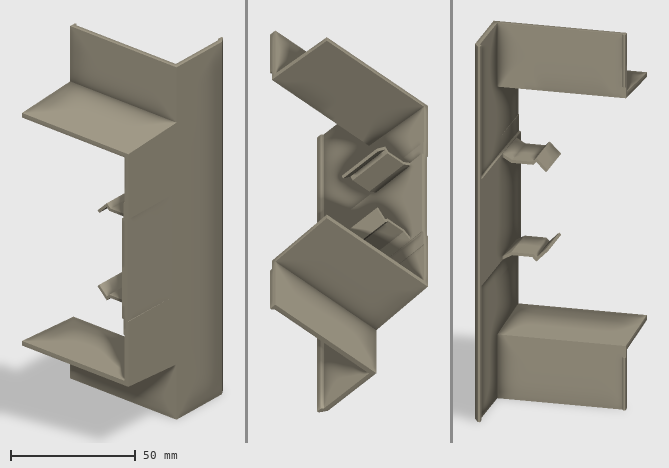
import cadquery as cq

width = 55.5
depth = 62.0
height = 160.0
half_height = height / 2

wall_thickness = 2.0
flange_thickness = 2.0
lip_rise = 0.8
lip_slope = 1.0
wall_inner_x = width - wall_thickness
lip_x = wall_inner_x - lip_rise

flange_front_y = 30.2
flange_back_y = flange_front_y + flange_thickness
shelf_fold_z = 54.9
shelf_front_z = 52.8
shelf_thickness = 2.0

wall_lip_start_y = 58.9
edge_bevel_width = 2.0
edge_bevel_length = 3.2
flange_lip_width = 0.6
flange_lip_bottom_z = 57.6

pad_half_height = 23.2
pad_slope = 0.5
panel_half_height = 30.0
panel_back_y = 27.4
panel_shift = 0.3

clip_front_y = 6.9
clip_root_x = wall_inner_x


def wall():
    """Back wall reaching the shelf tops in front and full height behind the flanges."""
    upper_edge = [(0, shelf_front_z), (flange_front_y, shelf_fold_z),
                  (flange_front_y, half_height), (depth, half_height)]
    lower_edge = [(y, -z) for y, z in reversed(upper_edge)]
    return (cq.Workplane("YZ", origin=(wall_inner_x, 0, 0))
            .polyline(upper_edge + lower_edge).close().extrude(wall_thickness))


def wall_lip():
    """Full-height thickening with a sloped start along the wall's rear edge."""
    return (cq.Workplane("XY", origin=(0, 0, -half_height))
            .polyline([(width, wall_lip_start_y), (wall_inner_x, wall_lip_start_y),
                       (lip_x, wall_lip_start_y + lip_slope), (lip_x, depth), (width, depth)])
            .close().extrude(height))


def rear_bevel():
    """Cutter for the bevel on the outer rear edge."""
    return (cq.Workplane("XY", origin=(0, 0, -half_height))
            .polyline([(width, depth), (width - edge_bevel_width, depth),
                       (width, depth - edge_bevel_length)])
            .close().extrude(height))


def central_pad():
    """Pad level with the rear lip, with sloped upper and lower sides."""
    pad_top = pad_half_height - pad_slope
    return (cq.Workplane("XZ")
            .polyline([(width, pad_half_height), (wall_inner_x, pad_half_height),
                       (lip_x, pad_top), (lip_x, -pad_top),
                       (wall_inner_x, -pad_half_height), (width, -pad_half_height)])
            .close().extrude(-depth))


def panel_wedge(face_x, half_span):
    """Thin wedge growing inward from a wall face towards the front edge."""
    return (cq.Workplane("XY", origin=(0, 0, -half_span))
            .polyline([(face_x, 0), (face_x - panel_shift, 0), (face_x, panel_back_y)])
            .close().extrude(2 * half_span))


def shelf_and_flange():
    """Upper sloping shelf folded up into the flange."""
    return (cq.Workplane("YZ")
            .polyline([(0, shelf_front_z), (flange_front_y, shelf_fold_z),
                       (flange_front_y, half_height), (flange_back_y, half_height),
                       (flange_back_y, shelf_front_z), (0, shelf_front_z - shelf_thickness)])
            .close().extrude(width))


def flange_lip():
    """Small raised lip on the back of the upper flange's free edge."""
    return (cq.Workplane("XY", origin=(0, 0, flange_lip_bottom_z))
            .polyline([(0, flange_front_y), (0, flange_back_y + lip_slope),
                       (flange_lip_width, flange_back_y + lip_slope),
                       (flange_lip_width + lip_slope, flange_back_y),
                       (flange_lip_width + lip_slope, flange_front_y)])
            .close().extrude(half_height - flange_lip_bottom_z))


def clip():
    """Upper spring clip: sloped root, flat arm, hooked tip."""
    upper_side = [(clip_root_x, 23.0), (48.6, 20.3), (40.3, 20.3), (38.5, 22.0), (33.8, 17.3)]
    lower_side = [(34.5, 16.3), (38.5, 20.3), (39.8, 19.0), (49.0, 19.0), (clip_root_x, 21.6)]
    return (cq.Workplane("XZ", origin=(0, clip_front_y, 0))
            .polyline(upper_side + lower_side).close().extrude(clip_front_y - panel_back_y))


back = wall().union(wall_lip()).cut(rear_bevel()).union(central_pad().cut(rear_bevel()))
back = back.union(panel_wedge(wall_inner_x, panel_half_height))
back = back.union(panel_wedge(lip_x, pad_half_height - pad_slope))
back = back.cut(panel_wedge(width, pad_half_height))

result = back
for upper_feature in (shelf_and_flange(), flange_lip(), clip()):
    result = result.union(upper_feature).union(upper_feature.mirror("XY"))